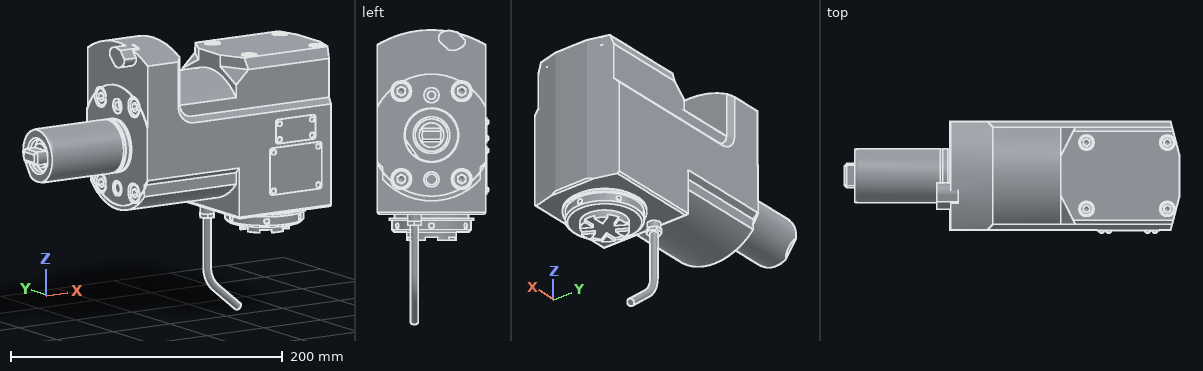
import cadquery as cq
import math


half_width = 40.0
bevel = 4.2
narrow_half = half_width - bevel
boss_height = 0.5
boss_radius = 45.0
flange_back = 31.5
flange_top_radius = 77.5
shoulder_top = 23.2
shoulder_bottom = -24.0
shoulder_corner_radius = 10.4
neck_radius = 48.5

head_front = 81.5
head_back = 169.2
head_top = 60.8
head_bottom = -58.3
head_bottom_chamfer = 1.5
head_top_half = 32.5
head_slope_bottom = 52.4
back_corner_length = 6.7
back_flat_half = 14.8
front_flat_half = 14.3
front_corner_length = 10.9
front_facet_bottom = 42.0

shank_radius = 20.0
shank_end = -70.1
shank_chamfer_length = 2.5
shank_chamfer_depth = 0.5
groove_depth = 0.5
seal_groove_start = -7.2
seal_groove_width = 2.0
undercut_width = 1.7
shank_flat_distance = 17.5
shank_flat_length = 5.0
shank_flat_angle = -35.0
drive_bore_diameter = 24.0
drive_bore_depth = 5.0
drive_bore_chamfer = 1.5
drive_shaft_diameter = 18.0
drive_shaft_recess = 2.5
tang_end = -77.8
tang_thickness = 10.0
tang_chamfer = 2.0

plug_diameter = 11.0
plug_recess = 0.5
upper_plug_z = 29.5
upper_plug_hole = 6.0
upper_plug_hole_depth = 3.7
lower_plug_z = -32.5
lower_plug_hole = 8.0
lower_plug_hole_depth = 1.0

pin_front = -10.0
pin_back = 6.2

spindle_x = 130.2
collar_diameter = 54.8
disc_diameter = 62.2
nut_diameter = 58.3
nose_diameter = 36.5
disc_top = -61.0
nut_top = -62.7
nut_bottom = -71.5
nut_chamfer = 1.7
nose_bottom = -77.5
nut_hole_count = 6
nut_hole_diameter = 4.0
nut_hole_depth = 3.7
nut_hole_z = -66.7
nose_slot_count = 3
nose_slot_width = 9.0
nose_slot_depth = 2.2

pipe_x = 88.0
pipe_y = 12.5
pipe_diameter = 6.0
fitting_size = 10.1
fitting_hex_top = -63.5
fitting_bottom = -66.5
pipe_bend_top = -104.2
pipe_bend_radius = 21.5
pipe_bend_angle = 50.0
pipe_end_z = -139.5

plate_thickness = 0.5
plate_corner_radius = 2.5
small_plate_corners = (113.5, -5.5, 148.7, 12.8)
large_plate_corners = (108.5, -43.5, 154.1, -8.2)
rivet_inset = 3.2
rivet_radius = 2.0
rivet_top = 2.2

head_edge_chamfer = 0.5
screw_recess = 0.7
flange_screw_y = 22.2
flange_screw_z = 32.4
flange_screw = dict(head=13.0, height=8.0, socket=6.0, shank=8.0, length=19.8)
flange_counterbore = 15.0
cover_screw_x = (100.5, 160.0)
cover_screw_y = 24.5
cover_screw = dict(head=10.0, height=6.0, socket=5.0, shank=6.0, length=14.8)
cover_counterbore = 11.0


def cylinder_x(radius, start, end):
    """Cylinder on the X axis between two X positions."""
    return cq.Workplane("YZ", origin=(start, 0, 0)).circle(radius).extrude(end - start)


def cylinder_z(x, y, diameter, bottom, top):
    """Upright cylinder between two Z positions."""
    return cq.Workplane("XY", origin=(x, y, bottom)).circle(diameter / 2).extrude(top - bottom)


def block(x_range, half_y, z_range):
    """Box that is symmetric about Y = 0."""
    size = (x_range[1] - x_range[0], 2 * half_y, z_range[1] - z_range[0])
    corner = (x_range[0], -half_y, z_range[0])
    return cq.Workplane("XY").box(*size, centered=False).translate(corner)


def mirrored_pair(solid):
    """A solid and its mirror image on the other side of Y = 0."""
    return solid.union(solid.mirror("XZ"))


def tetrahedron(a, b, c, d):
    corners = [(a, b, c), (a, b, d), (b, c, d), (a, c, d)]
    faces = [
        cq.Face.makeFromWires(cq.Wire.makePolygon([cq.Vector(*p) for p in triangle], close=True))
        for triangle in corners
    ]
    return cq.Workplane(cq.Solid.makeSolid(cq.Shell.makeShell(faces)))


def make_shoulder():
    """Flange and full-width shoulder, joined by a rounded inner corner with bevelled sides."""
    radius = shoulder_corner_radius
    corner_x = flange_back + radius
    corner_z = shoulder_top + radius
    on_arc = radius * math.sqrt(0.5)
    shoulder = (
        cq.Workplane("XZ", origin=(0, half_width, 0))
        .moveTo(boss_height, shoulder_bottom)
        .lineTo(head_back, shoulder_bottom)
        .lineTo(head_back, shoulder_top)
        .lineTo(corner_x, shoulder_top)
        .threePointArc((corner_x - on_arc, corner_z - on_arc), (flange_back, corner_z))
        .lineTo(flange_back, 2 * flange_top_radius)
        .lineTo(boss_height, 2 * flange_top_radius)
        .close()
        .extrude(2 * half_width)
    )
    shoulder = shoulder.faces("<Z").edges("|X").chamfer(bevel)
    inner_path = cq.selectors.BoxSelector(
        (flange_back - 0.2, -2 * half_width, shoulder_top - 0.2),
        (head_back - 0.2, 2 * half_width, 2 * flange_top_radius - 0.2),
    )
    shoulder = shoulder.edges(inner_path).edges("not |Y").chamfer(bevel)
    round_top = cylinder_x(flange_top_radius, boss_height, head_back)
    return shoulder.intersect(round_top)


def make_neck():
    """Round neck with flattened sides."""
    sides = block((boss_height, head_front), narrow_half, (-neck_radius, neck_radius))
    return cylinder_x(neck_radius, boss_height, head_front).intersect(sides)


def make_head():
    """Angle head: wide lower block and narrower upper block with sloped top sides."""
    lower = block((head_front, head_back), half_width, (head_bottom, shoulder_top - bevel))
    lower = lower.faces("<Z").edges().chamfer(head_bottom_chamfer)
    upper = (
        cq.Workplane("YZ", origin=(head_front, 0, 0))
        .polyline([
            (-narrow_half, 0),
            (narrow_half, 0),
            (narrow_half, head_slope_bottom),
            (head_top_half, head_top),
            (-head_top_half, head_top),
            (-narrow_half, head_slope_bottom),
        ])
        .close()
        .extrude(head_back - head_front)
    )
    return lower.union(upper)


def make_front_corner_cut():
    """Upright corner cut at the front of the cover, ending in a sloped triangular facet."""
    inner = (head_front, front_flat_half)
    back = (head_front + front_corner_length, narrow_half)
    outer = (head_front, narrow_half)
    upright = (
        cq.Workplane("XY", origin=(0, 0, head_slope_bottom))
        .polyline([inner, back, outer])
        .close()
        .extrude(head_top - head_slope_bottom)
    )
    facet = tetrahedron(
        (*inner, head_slope_bottom),
        (*back, head_slope_bottom),
        (*outer, head_slope_bottom),
        (*outer, front_facet_bottom),
    )
    return mirrored_pair(upright.union(facet))


def make_back_corner_cut():
    """Full-height corner cut at the back of the head."""
    cut = (
        cq.Workplane("XY", origin=(0, 0, head_bottom))
        .polyline([
            (head_back, back_flat_half),
            (head_back, half_width),
            (head_back - back_corner_length, half_width),
        ])
        .close()
        .extrude(head_top - head_bottom)
    )
    return mirrored_pair(cut)


def make_boss():
    """Low round pad on the flange face, trimmed to the housing width."""
    sides = block((0, boss_height), half_width, (-boss_radius, boss_radius))
    return cylinder_x(boss_radius, 0, boss_height).intersect(sides)


def make_shank():
    """Round shank, its grooves, its drive bore and the drive tang in the bore."""
    grooved_radius = shank_radius - groove_depth
    profile = [
        (shank_end, 0),
        (shank_end, shank_radius - shank_chamfer_depth),
        (shank_end + shank_chamfer_length, shank_radius),
        (seal_groove_start, shank_radius),
        (seal_groove_start, grooved_radius),
        (seal_groove_start + seal_groove_width, grooved_radius),
        (seal_groove_start + seal_groove_width, shank_radius),
        (-undercut_width, shank_radius),
        (-undercut_width, grooved_radius),
        (0, grooved_radius),
        (0, 0),
    ]
    shank = cq.Workplane("XY").polyline(profile).close().revolve(360, (0, 0, 0), (1, 0, 0))

    flat_cut = (
        cq.Workplane("XY")
        .polyline([
            (shank_end, shank_flat_distance),
            (shank_end, shank_radius),
            (shank_end + shank_flat_length, shank_radius),
        ])
        .close()
        .extrude(shank_radius, both=True)
        .rotate((0, 0, 0), (1, 0, 0), shank_flat_angle)
    )
    bore = cylinder_x(drive_bore_diameter / 2, shank_end, shank_end + drive_bore_depth)
    shank = shank.cut(flat_cut).cut(bore)
    smallest_circle = cq.selectors.RadiusNthSelector(0)
    bore_mouth = shank.faces("<X").edges("%CIRCLE").edges(smallest_circle)
    shank = bore_mouth.chamfer(drive_bore_chamfer)

    drive_radius = drive_shaft_diameter / 2
    shaft_face = shank_end + drive_shaft_recess
    shaft = cylinder_x(drive_radius, shaft_face, shank_end + drive_bore_depth)
    tang = cylinder_x(drive_radius, tang_end, shaft_face).faces("<X").chamfer(tang_chamfer)
    tang_slab = block(
        (tang_end, shaft_face), drive_radius, (-tang_thickness / 2, tang_thickness / 2)
    )
    tang_slab = tang_slab.faces("<X").edges("|Y").chamfer(tang_chamfer)
    return shank.union(shaft).union(tang.intersect(tang_slab))


def make_locating_pin():
    """Pin along X with two opposite slanted flats, its back end just proud of the flange top."""
    return (
        cq.Workplane("YZ", origin=(pin_front, 0, 0))
        .moveTo(-19.3, 75.8)
        .lineTo(-24.7, 70.0)
        .threePointArc((-24.2, 66.7), (-21.7, 64.5))
        .threePointArc((-17.0, 62.5), (-12.4, 63.0))
        .lineTo(-6.2, 68.7)
        .threePointArc((-5.2, 72.0), (-7.0, 75.0))
        .threePointArc((-10.0, 76.5), (-13.3, 77.0))
        .close()
        .extrude(pin_back - pin_front)
    )


def make_spindle():
    """Spindle collar, thin disc, clamping nut and slotted nose on one upright axis."""
    def ring(diameter, bottom, top):
        return cylinder_z(spindle_x, 0, diameter, bottom, top)

    nut = ring(nut_diameter, nut_bottom, nut_top).faces("<Z").chamfer(nut_chamfer)
    nut_radius = nut_diameter / 2
    for index in range(nut_hole_count):
        hole = (
            cq.Workplane("YZ", origin=(nut_radius - nut_hole_depth, 0, nut_hole_z))
            .circle(nut_hole_diameter / 2)
            .extrude(2 * nut_hole_depth)
            .rotate((0, 0, 0), (0, 0, 1), index * 360 / nut_hole_count)
            .translate((spindle_x, 0, 0))
        )
        nut = nut.cut(hole)

    nose = ring(nose_diameter, nose_bottom, nut_bottom)
    for index in range(nose_slot_count):
        slot = (
            cq.Workplane("XY", origin=(0, 0, nose_bottom))
            .rect(2 * nose_diameter, nose_slot_width)
            .extrude(nose_slot_depth)
            .rotate((0, 0, 0), (0, 0, 1), index * 180 / nose_slot_count)
            .translate((spindle_x, 0, 0))
        )
        nose = nose.cut(slot)

    collar = ring(collar_diameter, disc_top, head_bottom)
    disc = ring(disc_diameter, nut_top, disc_top)
    return collar.union(disc).union(nut).union(nose)


def make_coolant_pipe():
    """Round fitting with a hexagon below it, and a bent pipe."""
    fitting = cylinder_z(pipe_x, pipe_y, fitting_size, fitting_hex_top, head_bottom)
    hexagon = (
        cq.Workplane("XY", origin=(pipe_x, pipe_y, fitting_bottom))
        .transformed(rotate=(0, 0, 90))
        .polygon(6, fitting_size, circumscribed=True)
        .extrude(fitting_hex_top - fitting_bottom)
    )
    angle = math.radians(pipe_bend_angle)
    radius = pipe_bend_radius

    def bend_point(turned):
        return (
            pipe_x + radius * (1 - math.cos(turned)),
            pipe_bend_top - radius * math.sin(turned),
        )

    bend_end = bend_point(angle)
    tip_z = pipe_end_z + pipe_diameter / 2 * math.sin(angle)
    tip_x = bend_end[0] + (bend_end[1] - tip_z) * math.tan(angle)
    path = (
        cq.Workplane("XZ", origin=(0, pipe_y, 0))
        .moveTo(pipe_x, fitting_bottom)
        .lineTo(pipe_x, pipe_bend_top)
        .threePointArc(bend_point(angle / 2), bend_end)
        .lineTo(tip_x, tip_z)
    )
    pipe = (
        cq.Workplane("XY", origin=(pipe_x, pipe_y, fitting_bottom))
        .circle(pipe_diameter / 2)
        .sweep(path)
    )
    return fitting.union(hexagon).union(pipe)


def make_name_plate(corners):
    """Thin plate on the -Y side with a domed rivet in each corner."""
    left, bottom, right, top = corners
    plate = (
        cq.Workplane("XZ", origin=((left + right) / 2, -half_width, (bottom + top) / 2))
        .rect(right - left, top - bottom)
        .extrude(plate_thickness)
        .edges("|Y")
        .fillet(plate_corner_radius)
    )
    for x in (left + rivet_inset, right - rivet_inset):
        for z in (bottom + rivet_inset, top - rivet_inset):
            centre = (x, rivet_radius - half_width - rivet_top, z)
            plate = plate.union(cq.Workplane("XY").sphere(rivet_radius).translate(centre))
    return plate


def face_hole(z, diameter, depth):
    """Round blind hole into the flange face at Y = 0."""
    return cq.Workplane("YZ", origin=(0, 0, z)).circle(diameter / 2).extrude(depth)


def drilled(plane, diameter, start, depth):
    """Cylinder that runs from a start depth below a plane to a greater depth."""
    return (
        cq.Workplane(plane)
        .workplane(offset=-start)
        .circle(diameter / 2)
        .extrude(start - depth)
    )


def make_cap_screw(plane, size):
    """Cap screw with a cone-bottomed hexagon socket, sunk a little below the plane it is driven into."""
    head_end = screw_recess + size["height"]
    head = drilled(plane, size["head"], screw_recess, head_end)
    head = head.edges(cq.selectors.NearestToPointSelector(plane.toWorldCoords((0, 0, 0))))
    head = head.chamfer(head_edge_chamfer)
    shank = drilled(plane, size["shank"], head_end, head_end + size["length"])
    socket_depth = screw_recess + size["height"] / 2
    socket = (
        cq.Workplane(plane)
        .polygon(6, size["socket"], circumscribed=True)
        .extrude(-socket_depth)
    )
    cone_radius = size["socket"] / 2
    cone_base = plane.toWorldCoords((0, 0, -socket_depth))
    cone = cq.Solid.makeCone(cone_radius, 0, cone_radius / 2, pnt=cone_base, dir=-plane.zDir)
    return head.union(shank).cut(socket).cut(cq.Workplane(cone))


def make_screw_hole(plane, size, counterbore):
    """Counterbore with a clearance around the screw head, and a hole that fits the shank."""
    head_end = screw_recess + size["height"]
    shank_hole = drilled(plane, size["shank"], 0, head_end + size["length"])
    return drilled(plane, counterbore, 0, head_end).union(shank_hole)


flange_screw_planes = [
    cq.Plane(origin=(0, y, z), xDir=(0, 1, 0), normal=(-1, 0, 0))
    for y in (-flange_screw_y, flange_screw_y)
    for z in (-flange_screw_z, flange_screw_z)
]
cover_screw_planes = [
    cq.Plane(origin=(x, y, head_top), xDir=(1, 0, 0), normal=(0, 0, 1))
    for x in cover_screw_x
    for y in (-cover_screw_y, cover_screw_y)
]


def make_housing():
    housing = make_shoulder().union(make_neck()).union(make_head())
    housing = housing.cut(make_front_corner_cut()).cut(make_back_corner_cut())
    housing = housing.union(make_boss()).union(make_shank()).union(make_locating_pin())
    housing = housing.union(make_spindle()).union(make_coolant_pipe())
    for corners in (small_plate_corners, large_plate_corners):
        housing = housing.union(make_name_plate(corners))
    housing = housing.cut(face_hole(upper_plug_z, plug_diameter, plug_recess))
    housing = housing.cut(face_hole(upper_plug_z, upper_plug_hole, upper_plug_hole_depth))
    housing = housing.cut(face_hole(lower_plug_z, plug_diameter, plug_recess))
    housing = housing.cut(face_hole(lower_plug_z, lower_plug_hole, lower_plug_hole_depth))
    for plane in flange_screw_planes:
        housing = housing.cut(make_screw_hole(plane, flange_screw, flange_counterbore))
    for plane in cover_screw_planes:
        housing = housing.cut(make_screw_hole(plane, cover_screw, cover_counterbore))
    return housing


housing = make_housing()
flange_screws = [make_cap_screw(plane, flange_screw) for plane in flange_screw_planes]
cover_screws = [make_cap_screw(plane, cover_screw) for plane in cover_screw_planes]

result = cq.Compound.makeCompound(
    [housing.val()] + [screw.val() for screw in flange_screws + cover_screws]
)